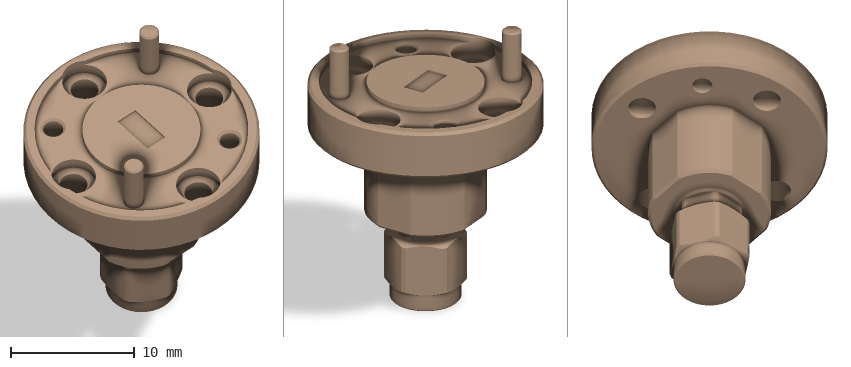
import cadquery as cq
import math


total_height = 23.25
flange_top = 19.35
flange_thickness = 4.07
flange_bottom = flange_top - flange_thickness
barrel_bottom = 7.65
hex_bottom = 6.15
nut_top = 5.97
nut_bottom = 1.46

flange_diameter = 19.05
flange_chamfer = 0.23
recess_diameter = 17.25
recess_depth = 0.49
boss_diameter = 9.53
recess_floor = flange_top - recess_depth

hole_circle_diameter = 14.3
hole_circle_radius = hole_circle_diameter / 2
screw_hole_diameter = 2.25
counterbore_diameter = 3.6
counterbore_depth = 1.49
dowel_hole_diameter = 1.63
dowel_countersink_diameter = 2.02
pin_countersink_diameter = 1.77

aperture_length = 3.76
aperture_width = 1.88
aperture_depth = 0.16

barrel_diameter = 9.92
barrel_across_flats = 9.41
barrel_chamfer = 0.25

pin_diameter = 1.58
pin_tip_chamfer = 0.15

collar_top_diameter = 6.05
collar_bottom_diameter = 5.58
collar_height = 0.16
hex_across_flats = 5.0
hex_corner_diameter = 5.58
hex_end_diameter = 4.88
neck_diameter = 4.25
nut_across_flats = 6.0
nut_corner_diameter = 6.7
nut_end_diameter = 5.85
sleeve_diameter = 5.8
sleeve_chamfer = 0.12
hex_chamfer_angle = math.radians(30)


def points_on_hole_circle(angles):
    """Centres on the hole circle at the given angles in degrees from +X."""
    return [
        (hole_circle_radius * math.cos(math.radians(a)), hole_circle_radius * math.sin(math.radians(a)))
        for a in angles
    ]


screw_points = points_on_hole_circle([0, 90, 180, 270])
dowel_points = points_on_hole_circle([45, 225])
pin_points = points_on_hole_circle([135, 315])


def cylinder(diameter, bottom, top, points=((0, 0),)):
    """Upright cylinders between two levels, one at each point."""
    return (
        cq.Workplane("XY", origin=(0, 0, bottom))
        .pushPoints(points)
        .circle(diameter / 2)
        .extrude(top - bottom)
    )


def countersink(point, mouth_diameter, hole_diameter):
    """45 degree cone that opens a hole at the recess floor."""
    depth = (mouth_diameter - hole_diameter) / 2
    cone = cq.Solid.makeCone(
        hole_diameter / 2, mouth_diameter / 2, depth, pnt=cq.Vector(*point, recess_floor - depth)
    )
    return cq.Workplane(obj=cone)


def make_flange():
    """Chamfered disc with a ring-shaped recess that leaves a boss level with the rim."""
    flange = cylinder(flange_diameter, flange_bottom, flange_top).edges().chamfer(flange_chamfer)
    recess = cylinder(recess_diameter, recess_floor, flange_top)
    boss = cylinder(boss_diameter, recess_floor, flange_top)
    return flange.cut(recess.cut(boss))


def make_barrel():
    """Round barrel with four flats and a chamfered lower end."""
    barrel = cylinder(barrel_diameter, barrel_bottom, flange_bottom).faces("<Z").chamfer(barrel_chamfer)
    flats = (
        cq.Workplane("XY", origin=(0, 0, barrel_bottom))
        .rect(barrel_across_flats, barrel_across_flats)
        .extrude(flange_bottom - barrel_bottom)
        .faces("<Z")
        .chamfer(barrel_chamfer)
    )
    return barrel.intersect(flats)


def make_housing():
    """Flange and barrel in one piece, with the flange holes and the waveguide aperture."""
    housing = make_flange().union(make_barrel())

    housing = housing.cut(cylinder(screw_hole_diameter, flange_bottom, flange_top, screw_points))
    counterbore_floor = flange_top - counterbore_depth
    housing = housing.cut(cylinder(counterbore_diameter, counterbore_floor, flange_top, screw_points))

    housing = housing.cut(cylinder(dowel_hole_diameter, flange_bottom, flange_top, dowel_points))
    housing = housing.cut(cylinder(pin_diameter, flange_bottom, flange_top, pin_points))
    for point in dowel_points:
        housing = housing.cut(countersink(point, dowel_countersink_diameter, dowel_hole_diameter))
    for point in pin_points:
        housing = housing.cut(countersink(point, pin_countersink_diameter, pin_diameter))

    aperture = (
        cq.Workplane("XY", origin=(0, 0, flange_top))
        .rect(aperture_length, aperture_width)
        .extrude(-aperture_depth)
    )
    return housing.cut(aperture)


def make_pin(point):
    """Guide pin with its foot level with the underside of the flange."""
    return cylinder(pin_diameter, flange_bottom, total_height, [point]).faces(">Z").chamfer(pin_tip_chamfer)


def hexagon(across_flats, corner_diameter, end_diameter, bottom, top, chamfer_top):
    """Hexagonal prism with turned corners and 30 degree end chamfers, two flats facing along Y."""
    prism = (
        cq.Workplane("XY", origin=(0, 0, bottom))
        .polygon(6, across_flats / math.cos(math.pi / 6))
        .extrude(top - bottom)
    )
    inset = (corner_diameter - end_diameter) / 2
    drop = inset * math.tan(hex_chamfer_angle)
    blank = cylinder(corner_diameter, bottom, top).faces("<Z").chamfer(drop, inset)
    if chamfer_top:
        blank = blank.faces(">Z").chamfer(drop, inset)
    return prism.intersect(blank)


def make_connector():
    """Coax connector: collar, hexagonal body, neck, hexagonal nut and end sleeve."""
    collar_bottom = barrel_bottom - collar_height
    collar = cq.Workplane(
        obj=cq.Solid.makeCone(
            collar_bottom_diameter / 2,
            collar_top_diameter / 2,
            collar_height,
            pnt=cq.Vector(0, 0, collar_bottom),
        )
    )
    hex_body = hexagon(
        hex_across_flats, hex_corner_diameter, hex_end_diameter, hex_bottom, collar_bottom, False
    )
    neck = cylinder(neck_diameter, nut_top, hex_bottom)
    nut = hexagon(nut_across_flats, nut_corner_diameter, nut_end_diameter, nut_bottom, nut_top, True)
    sleeve = cylinder(sleeve_diameter, 0, nut_bottom).faces("<Z").chamfer(sleeve_chamfer)
    return collar.union(hex_body).union(neck).union(nut).union(sleeve)


housing = make_housing()
pins = [make_pin(point) for point in pin_points]
connector = make_connector()

result = cq.Compound.makeCompound([housing.val(), *[pin.val() for pin in pins], connector.val()])